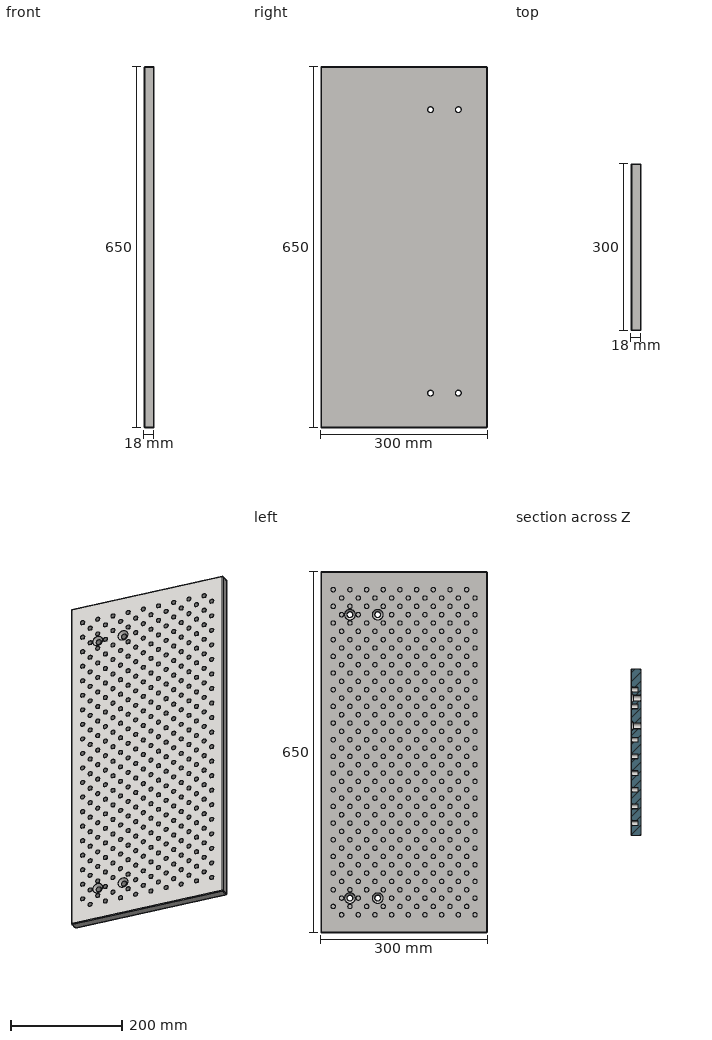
import cadquery as cq
import math

THICKNESS = 18.0
WIDTH = 300.0
HEIGHT = 650.0
EDGE_CHAMFER = 1.5
FACE_X = -THICKNESS / 2

GRID_STEP = 15.0
GRID_ROWS = 40
HOLES_PER_ROW = 9
GRID_HOLE_DIAMETER = 8.0
GRID_HOLE_DEPTH = 12.0
GRID_TOP_Z = GRID_STEP * (GRID_ROWS - 1) / 2
GRID_EDGE_Y = GRID_STEP * (2 * HOLES_PER_ROW - 1) / 2

MOUNT_HOLE_DIAMETER = 10.0
COUNTERSINK_DIAMETER = 19.2
COUNTERSINK_ANGLE = 90.0
MOUNT_SPACING_Y = 50.0
MOUNT_FIRST_Y = GRID_EDGE_Y - 2 * GRID_STEP
MOUNT_TOP_Z = GRID_TOP_Z - 3 * GRID_STEP
MOUNT_BOTTOM_Z = -GRID_TOP_Z + 2 * GRID_STEP


def face_plane():
    """Workplane on the working face: local x runs along -Y, local y along +Z."""
    return cq.Workplane(cq.Plane(origin=(FACE_X, 0, 0), xDir=(0, -1, 0), normal=(-1, 0, 0)))


def make_plate():
    plate = cq.Workplane("XY").box(THICKNESS, WIDTH, HEIGHT)
    return plate.edges().chamfer(EDGE_CHAMFER)


def mount_points():
    """Centres of the four countersunk holes in face coordinates."""
    columns = (MOUNT_FIRST_Y, MOUNT_FIRST_Y - MOUNT_SPACING_Y)
    rows = (MOUNT_TOP_Z, MOUNT_BOTTOM_Z)
    return [(-y, z) for y in columns for z in rows]


def clears_countersinks(point):
    """True where a grid hole would not run into a countersink."""
    clearance = (COUNTERSINK_DIAMETER + GRID_HOLE_DIAMETER) / 2
    return all(math.dist(point, mount) > clearance for mount in mount_points())


def grid_points():
    """Grid hole centres in face coordinates; every second row is shifted by one grid step."""
    points = []
    for row in range(GRID_ROWS):
        first = -GRID_EDGE_Y + GRID_STEP * (row % 2)
        z = GRID_TOP_Z - row * GRID_STEP
        for index in range(HOLES_PER_ROW):
            points.append((first + 2 * GRID_STEP * index, z))
    return [point for point in points if clears_countersinks(point)]


def make_grid_holes():
    return face_plane().pushPoints(grid_points()).circle(GRID_HOLE_DIAMETER / 2).extrude(-GRID_HOLE_DEPTH)


def cut_mounting_holes(body):
    holes = body.copyWorkplane(face_plane()).pushPoints(mount_points())
    return holes.cskHole(MOUNT_HOLE_DIAMETER, COUNTERSINK_DIAMETER, COUNTERSINK_ANGLE)


perforated_plate = make_plate().cut(make_grid_holes())
result = cut_mounting_holes(perforated_plate)